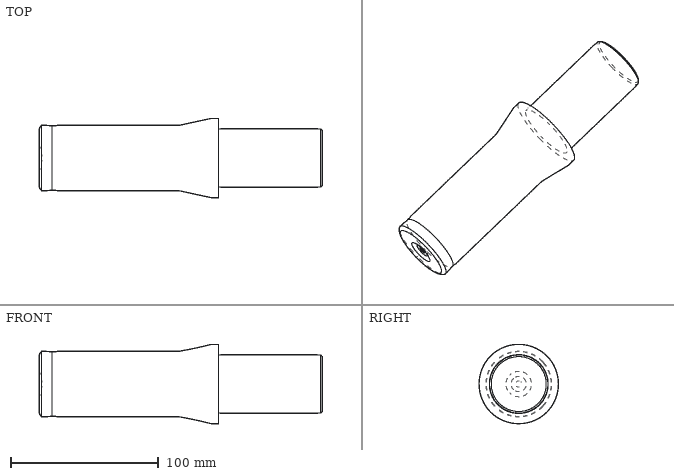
import cadquery as cq


total_length = 192.0
cap_length = 8.8
cone_start = 95.0
cone_end = 116.7
flange_face = 121.7

body_radius = 44.5 / 2
groove_radius = 44.0 / 2
flange_radius = 54.0 / 2
shank_radius = 40.0 / 2
relief_radius = 39.5 / 2

rim_length = 1.7
rim_radius = 19.5
rim_bulge_radius = 21.3
rim_bulge_x = 0.8
crest_radius = 18.5
taper_start = 4.8
groove_start = 7.7

channel_outer_radius = 16.1
channel_inner_radius = 14.4
channel_depth = 0.4
land_radius = 12.5
recess_mouth_radius = 8.6
recess_floor_radius = 5.2
recess_depth = 1.5
hole_radius = 2.1
hole_depth = 2.0

lead_in_start = 11.1
lead_in_end = 12.3
cone_root_blend = 7.7
flange_blend = 2.3
relief_length = 1.0
relief_ramp = 1.2
shank_lead_start = 188.2
shank_lead_ramp = 1.0
end_chamfer = 1.2


def revolve_about_x(profile):
    """Close a half-section drawn in XY (Y = radius) and spin it around X."""
    return profile.close().revolve(360, (0, 0, 0), (1, 0, 0))


def make_cap():
    profile = (
        cq.Workplane("XY")
        .moveTo(hole_depth, 0)
        .lineTo(hole_depth, hole_radius)
        .lineTo(recess_depth, hole_radius)
        .lineTo(recess_depth, recess_floor_radius)
        .lineTo(0, recess_mouth_radius)
        .lineTo(0, land_radius)
        .lineTo(channel_depth, channel_inner_radius)
        .lineTo(channel_depth, channel_outer_radius)
        .lineTo(0, crest_radius)
        .lineTo(0, rim_radius)
        .threePointArc((rim_bulge_x, rim_bulge_radius), (rim_length, body_radius))
        .lineTo(taper_start, body_radius)
        .lineTo(groove_start, groove_radius)
        .lineTo(cap_length, groove_radius)
        .lineTo(cap_length, 0)
    )
    return revolve_about_x(profile)


def make_post():
    relief_end = flange_face + relief_length
    profile = (
        cq.Workplane("XY")
        .moveTo(cap_length, 0)
        .lineTo(cap_length, groove_radius)
        .lineTo(lead_in_start, groove_radius)
        .lineTo(lead_in_end, body_radius)
        .lineTo(cone_start, body_radius)
        .lineTo(cone_end, flange_radius)
        .lineTo(flange_face, flange_radius)
        .lineTo(flange_face, relief_radius)
        .lineTo(relief_end, relief_radius)
        .lineTo(relief_end + relief_ramp, shank_radius)
        .lineTo(shank_lead_start, shank_radius)
        .lineTo(shank_lead_start + shank_lead_ramp, relief_radius)
        .lineTo(total_length - end_chamfer, relief_radius)
        .lineTo(total_length, relief_radius - end_chamfer)
        .lineTo(total_length, 0)
    )
    post = revolve_about_x(profile)
    post = blend_ring(post, cone_start, body_radius, cone_root_blend)
    return blend_ring(post, cone_end, flange_radius, flange_blend)


def blend_ring(post, x, radius, blend_radius):
    """Fillet the circular edge of the given radius lying at station x."""
    margin = 0.2
    ring = cq.selectors.BoxSelector(
        (x - margin, -radius - margin, -radius - margin),
        (x + margin, radius + margin, radius + margin),
        boundingbox=True,
    )
    return post.edges(ring).fillet(blend_radius)


cap = make_cap()
post = make_post()

result = cq.Compound.makeCompound([cap.val(), post.val()])